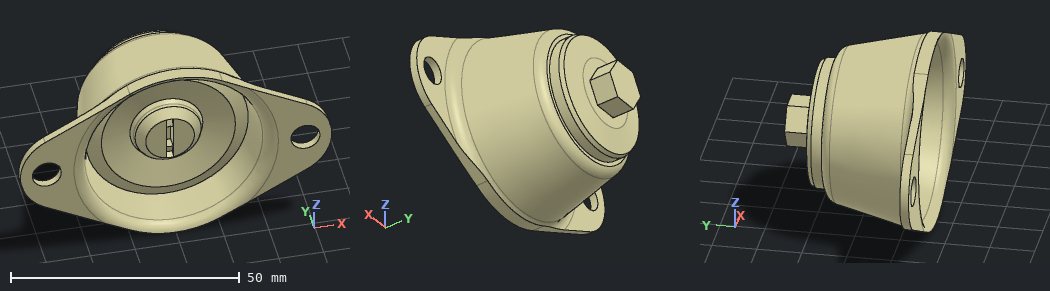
import cadquery as cq
import math


tip_x = 34.95
tip_radius = 10.5
rim_radius = 22.0
plate_thickness = 1.95
mount_hole_radius = 3.2
mount_hole_x = 29.0

flare_radius = 3.1
inner_flare_end_radius = 22.9
wall_slope = math.radians(13.6)
shoulder_radius = 17.55
shoulder_y = 20.85
shoulder_fillet = 2.1
cup_top_y = 23.0

cap_radius = 14.5
cap_side_top_y = 25.5
cap_edge_radius = 14.0
cap_edge_y = 26.6
cap_flat_radius = 8.25
cap_top_y = 27.55
hex_across_flats = 10.0
overall_depth = 33.0

ring_outer_y = 9.3
ring_lip_radius = 15.0
ring_lip_y = 7.75
boss_base_radius = 8.2
boss_base_y = 9.8
boss_collar_radius = 7.6
boss_collar_y = 8.7
boss_radius = 7.4
boss_side_y = 8.0
boss_face_radius = 5.45
boss_face_y = 6.1

slot_width = 1.6
slot_bottom_radius = 4.8
slot_bottom_y = 7.4
core_radius = 2.9
core_y = 6.7
core_floor_y = 9.2


def flange_outline(depth):
    """Two tip arcs and two rim arcs joined by their common tangents."""
    tip_center = tip_x - tip_radius
    sine = (rim_radius - tip_radius) / tip_center
    cosine = math.sqrt(1 - sine**2)
    rim_x = rim_radius * sine
    rim_z = rim_radius * cosine
    end_x = tip_center + tip_radius * sine
    end_z = tip_radius * cosine
    return (
        cq.Workplane("XZ")
        .moveTo(-rim_x, rim_z)
        .threePointArc((0, rim_radius), (rim_x, rim_z))
        .lineTo(end_x, end_z)
        .threePointArc((tip_x, 0), (end_x, -end_z))
        .lineTo(rim_x, -rim_z)
        .threePointArc((0, -rim_radius), (-rim_x, -rim_z))
        .lineTo(-end_x, -end_z)
        .threePointArc((-tip_x, 0), (-end_x, end_z))
        .close()
        .extrude(-depth)
    )


def flare_points(start_radius, start_y):
    """Middle and end of an arc turning from the flat flange into the cup wall."""
    turn = math.pi / 2 - wall_slope

    def point(angle):
        return (
            start_radius - flare_radius * math.sin(angle),
            start_y + flare_radius * (1 - math.cos(angle)),
        )

    return point(turn / 2), point(turn)


def turned_body():
    """Cup, elastomer, boss and cap as one revolved profile (radius, Y)."""
    inner_mid, inner_end = flare_points(inner_flare_end_radius, 0)
    ring_outer_radius = inner_end[0] - (ring_outer_y - inner_end[1]) * math.tan(wall_slope)

    flare_reach = flare_radius * math.cos(wall_slope)
    flare_height = flare_radius * (1 - math.sin(wall_slope))
    wall_foot_y = plate_thickness + flare_height
    wall_foot_radius = shoulder_radius + (shoulder_y - wall_foot_y) * math.tan(wall_slope)
    outer_flare_start = wall_foot_radius + flare_reach
    outer_mid, outer_end = flare_points(outer_flare_start, plate_thickness)

    profile = (
        cq.Workplane("XY")
        .moveTo(0, boss_face_y)
        .lineTo(boss_face_radius, boss_face_y)
        .lineTo(boss_radius, boss_side_y)
        .lineTo(boss_collar_radius, boss_collar_y)
        .lineTo(boss_base_radius, boss_base_y)
        .lineTo(ring_lip_radius, ring_lip_y)
        .lineTo(ring_outer_radius, ring_outer_y)
        .lineTo(*inner_end)
        .threePointArc(inner_mid, (inner_flare_end_radius, 0))
        .lineTo(outer_flare_start, 0)
        .lineTo(outer_flare_start, plate_thickness)
        .threePointArc(outer_mid, outer_end)
        .lineTo(shoulder_radius, shoulder_y)
        .tangentArcPoint((shoulder_radius - shoulder_fillet, cup_top_y), relative=False)
        .lineTo(cap_radius, cup_top_y)
        .lineTo(cap_radius, cap_side_top_y)
        .lineTo(cap_edge_radius, cap_edge_y)
        .lineTo(cap_flat_radius, cap_top_y)
        .lineTo(0, cap_top_y)
        .close()
    )
    return profile.revolve(360, (0, 0, 0), (0, 1, 0))


def flange_plate():
    """Flange with two mounting holes, open inside the cup."""
    opening = cq.Workplane("XZ").circle(inner_flare_end_radius).extrude(-plate_thickness)
    holes = (
        cq.Workplane("XZ")
        .pushPoints([(-mount_hole_x, 0), (mount_hole_x, 0)])
        .circle(mount_hole_radius)
        .extrude(-plate_thickness)
    )
    return flange_outline(plate_thickness).cut(opening).cut(holes)


def hex_head():
    """Hexagonal head with two corners on the X axis."""
    across_corners = hex_across_flats / math.cos(math.pi / 6)
    return (
        cq.Workplane("XZ", origin=(0, cap_top_y, 0))
        .polygon(6, across_corners)
        .extrude(cap_top_y - overall_depth)
    )


def boss_slot():
    """Narrow slice of a tapered recess around a bevelled hollow core."""
    recess = (
        cq.Workplane("XY")
        .moveTo(0, boss_face_y)
        .lineTo(boss_face_radius, boss_face_y)
        .lineTo(slot_bottom_radius, slot_bottom_y)
        .lineTo(core_radius, core_y)
        .lineTo(core_radius, core_floor_y)
        .lineTo(0, core_floor_y)
        .close()
        .revolve(360, (0, 0, 0), (0, 1, 0))
    )
    slice_box = cq.Workplane("XY").box(slot_width, 2 * core_floor_y, 2 * boss_face_radius)
    return recess.intersect(slice_box)


trimmed_body = turned_body().intersect(flange_outline(overall_depth))
result = trimmed_body.union(flange_plate()).union(hex_head()).cut(boss_slot())